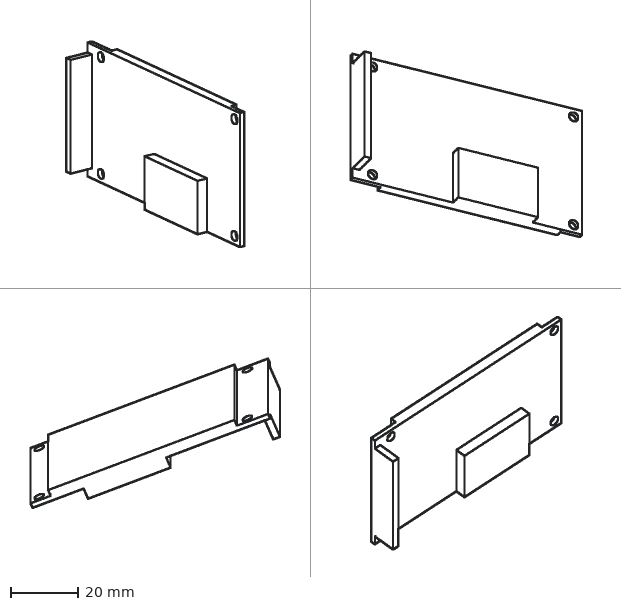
import cadquery as cq

board_length = 76.5
board_height = 42.5
board_thickness = 1.6

hole_diameter = 3.0
hole_left = 6.65
hole_right = 73.7
hole_edge_distance = 2.75

panel_left = 10.0
panel_length = 60.0
panel_thickness = 2.0

strip_width = 2.2
strip_height = 36.1
overall_depth = 11.5
strip_depth = overall_depth - board_thickness - panel_thickness

block_left = 33.4
block_length = 26.6
block_height = 17.0
block_depth = 3.5


def box(left, front, bottom, length, depth, height):
    """Box placed by its left, front, bottom corner."""
    return cq.Workplane("XY").box(length, depth, height, centered=False).translate((left, front, bottom))


def mounting_holes():
    """Four cutters running through the board along Y."""
    centers = [
        (x, z)
        for x in (hole_left, hole_right)
        for z in (hole_edge_distance, board_height - hole_edge_distance)
    ]
    return cq.Workplane("XZ").pushPoints(centers).circle(hole_diameter / 2).extrude(-board_thickness)


board = box(0, 0, 0, board_length, board_thickness, board_height).cut(mounting_holes())
panel = box(panel_left, board_thickness, 0, panel_length, panel_thickness, board_height)
strip_bottom = (board_height - strip_height) / 2
strip = box(0, -strip_depth, strip_bottom, strip_width, strip_depth, strip_height)
block = box(block_left, -block_depth, 0, block_length, block_depth, block_height)

result = board.union(panel).union(strip).union(block)